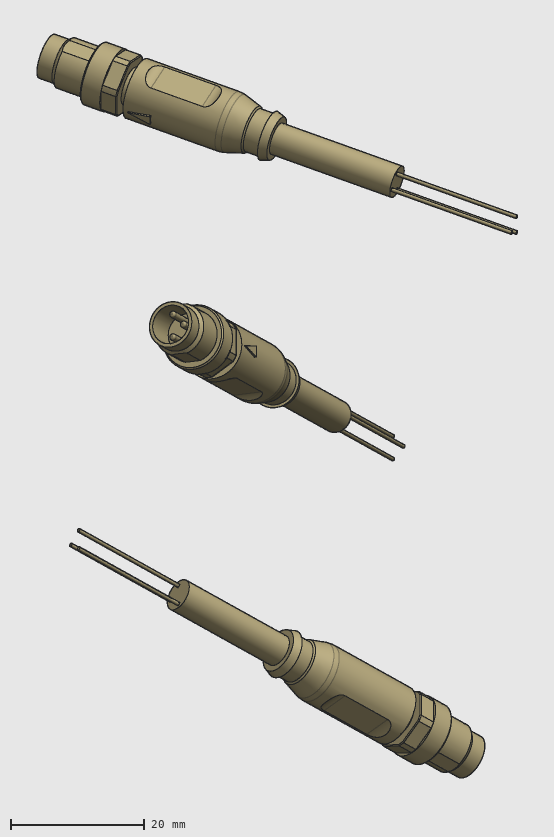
import cadquery as cq
import math

TIP_END = 2.5
THREAD_START = 3.1
COLLAR_START = 7.85
COLLAR_END = 11.2
HEX_END = 13.8
GRIP_START = 15.0
GRIP_BLEND_START = 30.35
GRIP_BLEND_END = 31.3
GRIP_END = 34.2
SLEEVE_START = 34.4
BEAD_START = 37.0
BEAD_END = 38.3
CABLE_END = 58.4
WIRE_END = 78.4

TIP_RADIUS = 3.5
THREAD_RADIUS = 8.1 / 2
COLLAR_RADIUS = 5.0
NECK_RADIUS = 3.0
GRIP_RADIUS = 4.8
SLEEVE_RADIUS = 3.45
BEAD_RADIUS = 3.9
CABLE_RADIUS = 2.5

COLLAR_CHAMFER = 0.2

GRIP_TAPER = math.radians(17)
GRIP_BLEND_RADIUS = GRIP_RADIUS - (GRIP_BLEND_END - GRIP_BLEND_START) * math.tan(GRIP_TAPER / 2)
GRIP_END_RADIUS = GRIP_BLEND_RADIUS - (GRIP_END - GRIP_BLEND_END) * math.tan(GRIP_TAPER)

HEX_FLAT_DISTANCE = 9.0 / 2
HEX_CORNER_RADIUS = 4.9
HEX_CHAMFER = 0.15

THREAD_FLAT_HEIGHT = 3.85

RECESS_FLAT_START = 18.5
RECESS_FLAT_END = 27.05
RECESS_HEIGHT = 4.15
RECESS_END_RADIUS = 2.5

ARROW_TIP = 15.8
ARROW_BASE = 19.6
ARROW_HALF_WIDTH = 0.9
ARROW_TOP = COLLAR_RADIUS

SOCKET_RADIUS = 3.0
SOCKET_DEPTH = 5.5
PIN_RADIUS = 0.51
PIN_START = 0.5
PIN_TIP_FILLET = 0.4
WIRE_RADIUS = 0.59 / 2
CONDUCTOR_PITCH_RADIUS = 3.5 / 2
CONDUCTOR_ANGLES = (90, 180, 270)


def rod(radius, start, end, y=0, z=0):
    """Cylinder parallel to X."""
    return cq.Workplane("YZ", origin=(start, y, z)).circle(radius).extrude(end - start)


def revolved_profile():
    """Plug, collar, neck, grip, strain relief and cable as one turned shape."""
    return (
        cq.Workplane("XZ")
        .lineTo(0, TIP_RADIUS)
        .lineTo(TIP_END, TIP_RADIUS)
        .lineTo(THREAD_START, THREAD_RADIUS)
        .lineTo(COLLAR_START, THREAD_RADIUS)
        .lineTo(COLLAR_START, COLLAR_RADIUS - COLLAR_CHAMFER)
        .lineTo(COLLAR_START + COLLAR_CHAMFER, COLLAR_RADIUS)
        .lineTo(COLLAR_END, COLLAR_RADIUS)
        .lineTo(COLLAR_END, NECK_RADIUS)
        .lineTo(GRIP_START, NECK_RADIUS)
        .lineTo(GRIP_START, GRIP_RADIUS)
        .lineTo(GRIP_BLEND_START, GRIP_RADIUS)
        .tangentArcPoint((GRIP_BLEND_END, GRIP_BLEND_RADIUS), relative=False)
        .lineTo(GRIP_END, GRIP_END_RADIUS)
        .lineTo(SLEEVE_START, SLEEVE_RADIUS)
        .lineTo(BEAD_START, SLEEVE_RADIUS)
        .lineTo(BEAD_START, BEAD_RADIUS)
        .lineTo(BEAD_END, SLEEVE_RADIUS)
        .lineTo(BEAD_END, CABLE_RADIUS)
        .lineTo(CABLE_END, CABLE_RADIUS)
        .lineTo(CABLE_END, 0)
        .close()
        .revolve(360, (0, 0, 0), (1, 0, 0))
    )


def hex_drive():
    """Hexagon behind the collar, flats facing -Y and +Y, corners turned off."""
    corner_distance = HEX_FLAT_DISTANCE / math.cos(math.radians(30))
    hexagon = (
        cq.Workplane("YZ", origin=(COLLAR_END, 0, 0))
        .transformed(rotate=(0, 0, 90))
        .polygon(6, 2 * corner_distance)
        .extrude(HEX_END - COLLAR_END)
    )
    corner_turning = rod(HEX_CORNER_RADIUS, COLLAR_END, HEX_END)
    return hexagon.intersect(corner_turning).faces(">X").chamfer(HEX_CHAMFER)


def thread_flats():
    """Cutting slabs for the flats on the top and bottom of the threaded section."""
    length = COLLAR_START - TIP_END
    slab = cq.Workplane("XY").box(length, 2 * THREAD_RADIUS, THREAD_RADIUS, centered=(False, True, False))
    top = slab.translate((TIP_END, 0, THREAD_FLAT_HEIGHT))
    return top.union(top.mirror("XY"))


def finger_recesses():
    """Flat-bottomed cuts whose ends sweep up in arcs."""
    arc_center_height = RECESS_HEIGHT + RECESS_END_RADIUS
    top = (
        cq.Workplane("XZ")
        .moveTo(RECESS_FLAT_START, RECESS_HEIGHT)
        .lineTo(RECESS_FLAT_END, RECESS_HEIGHT)
        .radiusArc((RECESS_FLAT_END + RECESS_END_RADIUS, arc_center_height), -RECESS_END_RADIUS)
        .lineTo(RECESS_FLAT_START - RECESS_END_RADIUS, arc_center_height)
        .radiusArc((RECESS_FLAT_START, RECESS_HEIGHT), -RECESS_END_RADIUS)
        .close()
        .extrude(GRIP_RADIUS, both=True)
    )
    return top.union(top.mirror("XY"))


def alignment_arrow():
    """Raised triangle pointing toward the plug face."""
    return (
        cq.Workplane("XZ")
        .moveTo(ARROW_TIP, 0)
        .lineTo(ARROW_BASE, ARROW_HALF_WIDTH)
        .lineTo(ARROW_BASE, -ARROW_HALF_WIDTH)
        .close()
        .extrude(ARROW_TOP)
    )


def make_conductor(angle):
    """Contact pin in the socket that continues as a wire through the cable."""
    pin = rod(PIN_RADIUS, PIN_START, SOCKET_DEPTH).faces("<X").fillet(PIN_TIP_FILLET)
    wire = rod(WIRE_RADIUS, SOCKET_DEPTH, WIRE_END)
    y = CONDUCTOR_PITCH_RADIUS * math.cos(math.radians(angle))
    z = CONDUCTOR_PITCH_RADIUS * math.sin(math.radians(angle))
    return pin.union(wire).translate((0, y, z))


def make_housing(conductors):
    """Moulded connector with cable, bored for the conductors."""
    housing = revolved_profile().union(hex_drive())
    housing = housing.cut(thread_flats()).cut(finger_recesses()).union(alignment_arrow())
    housing = housing.cut(rod(SOCKET_RADIUS, 0, SOCKET_DEPTH))
    for conductor in conductors:
        housing = housing.cut(conductor)
    return housing


conductors = [make_conductor(angle) for angle in CONDUCTOR_ANGLES]
housing = make_housing(conductors)

result = cq.Compound.makeCompound([housing.val(), *[conductor.val() for conductor in conductors]])